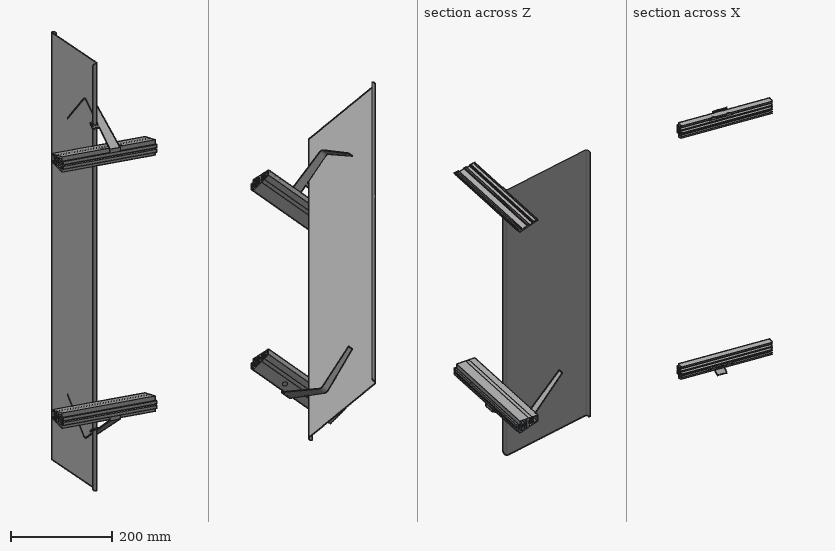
import cadquery as cq

overall_width = 251.0

panel_height = 900.0
panel_width = 200.0
panel_sheet = 1.35
panel_depth = 22.5
panel_bend = 5.0
flange_corner = 4.0
panel_middle_y = -1.0
panel_edge = panel_width / 2
panel_back = panel_middle_y + panel_sheet / 2

rail_length = 208.0
rail_level = 270.0
rail_wall = 3.0
rail_start = panel_edge
rail_width = 45.0
rail_end = rail_start + rail_width
rail_half_start = 8.0
rail_half_end = 16.0
rail_taper = (rail_half_end - rail_half_start) / rail_width

chamber_end = 110.0
rib_end = 112.5
notch_end = 115.0
notch_half = 4.5
web_start = 122.0
web_end = 127.0
channel_end = 140.0
channel_half = 2.0
cavity_end = 140.0
cavity_floor = 5.0
cavity_wall = 4.5

lip_start = 148.0
lip_end = overall_width - panel_edge
lip_gap_half = 2.0
lip_thickness = 3.0
lip_half = 8.0

pocket_start = 113.0
pocket_end = 121.5
pocket_floor = 4.5
pocket_wall = 2.0

stud_x = 132.0
stud_diameter = 10.0
stud_spacing = 35.0
stud_middle_y = 13.0
stud_cover = 2.0
plate_thickness = 2.0
plate_margin = 4.5

strip_tail = (-31.0, 292.5)
strip_peak = (43.0, 361.0)
strip_corner = (lip_end, 286.0)
strip_drop = 3.0
strip_bend = 9.0
leg_thickness = 3.0
tail_edge = 10.0
root_edge = 22.5
hook_shank = 5.0
hook_reach = -15.0
hook_nose = 94.0
nose_top = -8.0
hook_clearance = 1.0


def slope_height(x, inset=0.0):
    """Height of the rail's sloped face above the rail centre line, less an inset."""
    return rail_half_start + rail_taper * (x - rail_start) - inset


def prism_along_y(points, start, end):
    """Solid with an XZ outline, running from y = start to y = end."""
    return cq.Workplane("XZ", origin=(0, start, 0)).polyline(points).close().extrude(start - end)


def rail_prism(points):
    """Full-length rail piece whose outline is given about the rail centre line."""
    return prism_along_y(points, -rail_length / 2, rail_length / 2)


def rail_box(x_start, x_end, z_start, z_end):
    return rail_prism([(x_start, z_start), (x_end, z_start), (x_end, z_end), (x_start, z_end)])


def make_panel():
    edge, back, tip = panel_edge, panel_sheet / 2, panel_depth / 2
    half = [(panel_sheet - edge, tip), (-edge, tip), (-edge, -back), (edge - panel_sheet, -back)]
    other_half = [(-x, -y) for x, y in half]
    panel = (
        cq.Workplane("XY", origin=(0, 0, -panel_height / 2))
        .polyline(half + other_half).close().extrude(panel_height)
    )
    for side in (-1, 1):
        outer_corner = (side * edge, side * back, 0)
        inner_corner = (side * (edge - panel_sheet), -side * back, 0)
        panel = panel.edges(cq.NearestToPointSelector(outer_corner)).fillet(panel_bend)
        panel = panel.edges(cq.NearestToPointSelector(inner_corner)).fillet(panel_bend - panel_sheet)
    panel = panel.edges("|X and (<Y or >Y)").chamfer(flange_corner)
    return panel.translate((0, panel_middle_y, 0))


def rail_envelope():
    return rail_prism([
        (rail_start, rail_half_start), (rail_end, rail_half_end),
        (rail_end, -rail_half_end), (rail_start, -rail_half_start),
    ])


def side_cavity(side, start, end, floor, wall):
    """Cavity above (side = 1) or below (side = -1) the centre line, under the sloped wall."""
    return rail_prism([
        (start, side * floor),
        (end, side * floor),
        (end, side * slope_height(end, wall)),
        (start, side * slope_height(start, wall)),
    ])


def make_rail():
    """Rail about its own centre line, with blind stud holes in the upper wall."""
    rail = rail_envelope()

    chamber_start = rail_start + rail_wall
    rail = rail.cut(rail_prism([
        (chamber_start, slope_height(chamber_start, rail_wall)),
        (chamber_end, slope_height(chamber_end, rail_wall)),
        (chamber_end, -slope_height(chamber_end, rail_wall)),
        (chamber_start, -slope_height(chamber_start, rail_wall)),
    ]))
    rail = rail.cut(rail_box(chamber_end, web_start, -channel_half, channel_half))
    rail = rail.cut(rail_box(rib_end, notch_end, -notch_half, notch_half))
    rail = rail.cut(rail_box(web_end, channel_end, -channel_half, channel_half))

    for side in (-1, 1):
        rail = rail.cut(side_cavity(side, pocket_start, pocket_end, pocket_floor, pocket_wall))
        rail = rail.cut(side_cavity(side, web_end, cavity_end, cavity_floor, cavity_wall))
        neck_top = lip_gap_half + lip_thickness
        rail = rail.union(rail_prism([
            (rail_end, side * lip_gap_half), (lip_end, side * lip_gap_half),
            (lip_end, side * lip_half), (lip_start, side * lip_half),
            (lip_start, side * neck_top), (rail_end, side * neck_top),
        ]))
    return rail.cut(make_studs())


def make_studs():
    """Two upright studs, from the underside of the retainer plate up into the sloped wall."""
    studs = (
        cq.Workplane("XY", origin=(stud_x, stud_middle_y, 0))
        .rarray(9, stud_spacing, 1, 2).circle(stud_diameter / 2).extrude(rail_half_end)
    )
    plate_bottom = cavity_wall + plate_thickness
    return studs.intersect(side_cavity(1, web_end, cavity_end, 0, stud_cover)).cut(
        side_cavity(1, web_end, cavity_end, 0, plate_bottom)
    )


def make_retainer():
    """Plate under the sloped wall, with two studs reaching into it."""
    plate_half = stud_spacing / 2 + stud_diameter / 2 + plate_margin
    plate_top = cavity_wall
    plate_bottom = cavity_wall + plate_thickness
    plate = prism_along_y(
        [
            (web_end, slope_height(web_end, plate_bottom)),
            (cavity_end, slope_height(cavity_end, plate_bottom)),
            (cavity_end, slope_height(cavity_end, plate_top)),
            (web_end, slope_height(web_end, plate_top)),
        ],
        stud_middle_y - plate_half, stud_middle_y + plate_half,
    )
    return plate.union(make_studs())


def make_bracket():
    """Upper bracket: a bent sheet trimmed to its tapered plan outline with the flange hook."""
    tail_x, tail_z = strip_tail
    peak_x, peak_z = strip_peak
    corner_x, corner_z = strip_corner
    foot_z = rail_level + lip_half
    strip_slope = (peak_z - corner_z) / (corner_x - peak_x)
    inner_corner_z = corner_z - strip_drop + strip_slope * leg_thickness
    sheet = prism_along_y(
        [
            strip_tail, strip_peak, strip_corner,
            (corner_x, foot_z), (corner_x - leg_thickness, foot_z),
            (corner_x - leg_thickness, inner_corner_z),
            (peak_x, peak_z - strip_drop), (tail_x, tail_z - strip_drop),
        ],
        hook_reach, root_edge,
    )
    sheet = sheet.edges(cq.NearestToPointSelector((peak_x, 0, peak_z))).fillet(strip_bend)
    inner_peak = (peak_x, 0, peak_z - strip_drop)
    sheet = sheet.edges(cq.NearestToPointSelector(inner_peak)).fillet(strip_bend - leg_thickness)

    flange_inside = panel_edge - panel_sheet - hook_clearance
    flange_tip = panel_middle_y - panel_depth / 2 - hook_clearance
    plan = (
        cq.Workplane("XY")
        .polyline([
            (tail_x, panel_back), (panel_edge, panel_back),
            (panel_edge, flange_tip), (flange_inside, flange_tip),
            (flange_inside, nose_top), (hook_nose, nose_top), (hook_nose, hook_reach),
            (panel_edge + hook_shank, hook_reach), (panel_edge + hook_shank, panel_back),
            (corner_x, panel_back), (corner_x, root_edge), (tail_x, tail_edge),
        ])
        .close().extrude(panel_height / 2)
    )
    return sheet.intersect(plan)


panel = make_panel()
upper_rail = make_rail().translate((0, 0, rail_level))
upper_retainer = make_retainer().translate((0, 0, rail_level))
upper_bracket = make_bracket()

bodies = panel.solids().vals()
for upper_body in (upper_rail, upper_retainer, upper_bracket):
    bodies += upper_body.solids().vals()
    bodies += upper_body.mirror("XY").solids().vals()

result = cq.Compound.makeCompound(bodies)